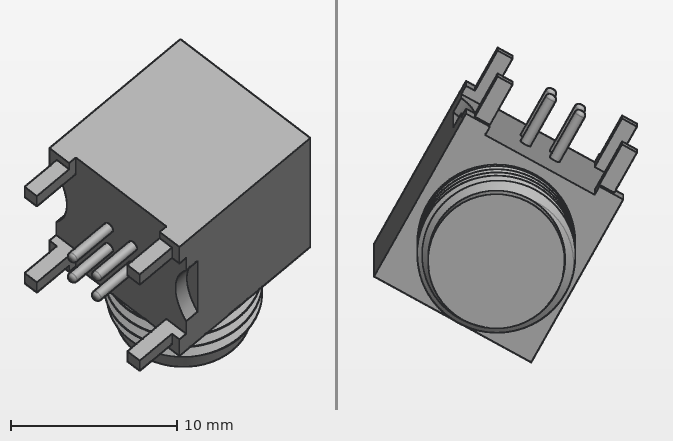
import cadquery as cq


housing_side = 10.8
half_side = housing_side / 2
front_y = -half_side
mid_z = half_side

peg_inset = 0.62
peg_side = 1.03
standoff_side = peg_inset + peg_side
standoff_height = 0.58
tip_reach = 3.39

notch_radius = 4.0
notch_bite = 0.89
notch_depth = 1.0

pin_diameter = 0.68
pin_spacing = 2.0
pin_tip_fillet = 0.25

overall_height = 17.1
socket_length = overall_height - housing_side
thread_length = 5.1
thread_radius = 4.75
core_radius = 4.1
lead_chamfer = thread_radius - core_radius
thread_pitch = 1.05
groove_width = 0.95
groove_turns = 5
groove_apex_radius = 4.02
first_root_z = -0.72
groove_overshoot = 0.02


def corner_post(side, inset, length, side_x, side_z):
    """Square post standing on one corner of the front face."""
    offset = half_side - inset - side / 2
    return cq.Workplane("XY").box(side, length, side).translate(
        (side_x * offset, front_y - length / 2, mid_z + side_z * offset)
    )


def contact_pin(side_x, side_z):
    offset = pin_spacing / 2
    pin = (
        cq.Workplane("XZ", origin=(side_x * offset, front_y, mid_z + side_z * offset))
        .circle(pin_diameter / 2)
        .extrude(tip_reach)
    )
    return pin.faces("<Y").edges().fillet(pin_tip_fillet)


def edge_notch(side_x):
    centre_x = side_x * (half_side + notch_radius - notch_bite)
    return cq.Workplane("XZ", origin=(centre_x, front_y, mid_z)).circle(notch_radius).extrude(-notch_depth)


def thread_groove():
    """V-shaped right-hand helical cutter whose upper end lies on the +X side."""
    helix = cq.Wire.makeHelix(thread_pitch, groove_turns * thread_pitch, groove_apex_radius)
    flank_slope = groove_width / 2 / (thread_radius - groove_apex_radius)
    outer_radius = thread_radius + groove_overshoot
    outer_half_width = flank_slope * (outer_radius - groove_apex_radius)
    cutter = (
        cq.Workplane("XZ")
        .polyline([(groove_apex_radius, 0), (outer_radius, outer_half_width), (outer_radius, -outer_half_width)])
        .close()
        .sweep(cq.Workplane(obj=helix), isFrenet=True)
    )
    return cutter.translate((0, 0, first_root_z - groove_turns * thread_pitch))


def threaded_socket():
    thread = cq.Workplane("XY").circle(thread_radius).extrude(-thread_length)
    thread = thread.faces("<Z").chamfer(lead_chamfer)
    thread = thread.cut(thread_groove())
    core = cq.Workplane("XY").circle(core_radius).extrude(-socket_length)
    return thread.union(core)


result = cq.Workplane("XY").box(housing_side, housing_side, housing_side).translate((0, 0, mid_z))
for side_x in (-1, 1):
    result = result.cut(edge_notch(side_x))
    for side_z in (-1, 1):
        result = result.union(corner_post(standoff_side, 0, standoff_height, side_x, side_z))
        result = result.union(corner_post(peg_side, peg_inset, tip_reach, side_x, side_z))
        result = result.union(contact_pin(side_x, side_z))
result = result.union(threaded_socket())